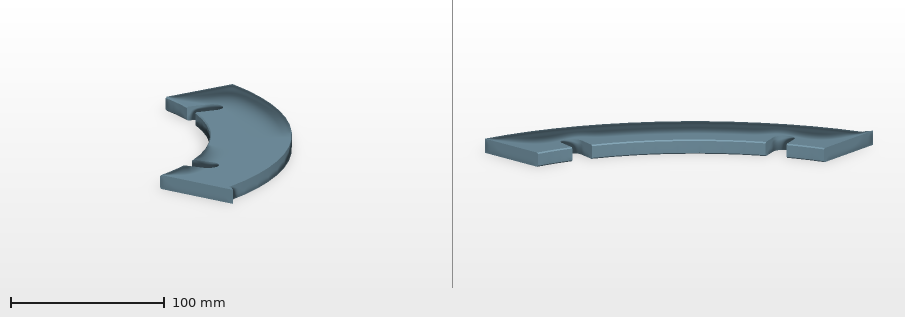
import cadquery as cq
import math

thickness = 9.5
inner_radius = 157.8
outer_radius = 211.2
sector_height = 201.5
sector_angle = math.degrees(math.asin(sector_height / outer_radius))
inner_edge_chamfer = 0.8

slot_width = 14.5
slot_center_radius = 172.3
slot_end_offset = 12.6
slot_angles = (slot_end_offset, sector_angle - slot_end_offset)

lip_tip_x = 217.7
lip_shoulder_x = 212.8
lip_height = 4.0


def polar(radius, angle):
    """Point at the given radius and angle in degrees."""
    return (
        radius * math.cos(math.radians(angle)),
        radius * math.sin(math.radians(angle)),
    )


def make_sector():
    lip_root = (math.sqrt(outer_radius**2 - lip_height**2), lip_height)
    body = (
        cq.Workplane("XY")
        .moveTo(inner_radius, 0)
        .lineTo(lip_tip_x, 0)
        .lineTo(lip_shoulder_x, lip_height)
        .lineTo(*lip_root)
        .threePointArc(polar(outer_radius, sector_angle / 2), polar(outer_radius, sector_angle))
        .lineTo(*polar(inner_radius, sector_angle))
        .threePointArc(polar(inner_radius, sector_angle / 2), (inner_radius, 0))
        .close()
        .extrude(thickness)
    )
    inner_edges = cq.selectors.RadiusNthSelector(0)
    return body.edges("%CIRCLE").edges(inner_edges).chamfer(inner_edge_chamfer)


def make_slot(angle):
    """Round-ended radial slot that runs out through the inner edge."""
    slot_radius = slot_width / 2
    mouth_radius = inner_radius - slot_width
    return (
        cq.Workplane("XY")
        .moveTo(mouth_radius, -slot_radius)
        .lineTo(slot_center_radius, -slot_radius)
        .threePointArc((slot_center_radius + slot_radius, 0), (slot_center_radius, slot_radius))
        .lineTo(mouth_radius, slot_radius)
        .close()
        .extrude(thickness)
        .rotate((0, 0, 0), (0, 0, 1), angle)
    )


result = make_sector()
for slot_angle in slot_angles:
    result = result.cut(make_slot(slot_angle))